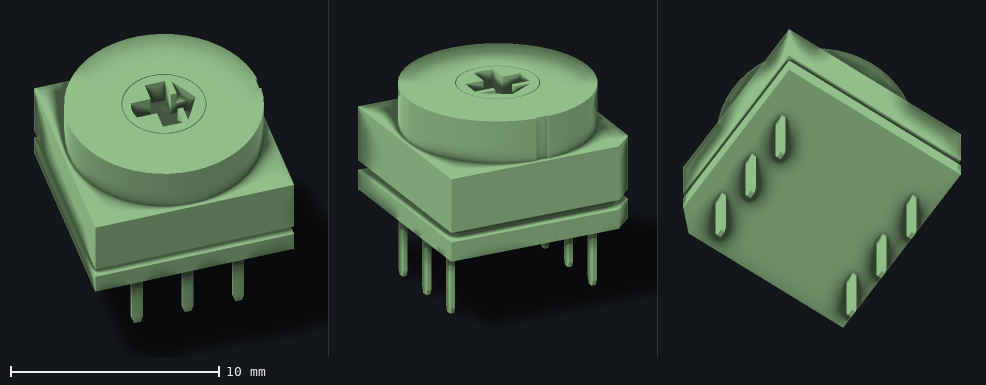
import cadquery as cq
import math

body_side = 10.0
corner_chamfer = 1.0
base_height = 1.0
groove_height = 0.5
groove_inset = 0.5
housing_height = 2.8
overall_height = 10.3

dial_diameter = 9.6
dial_height = 2.2
notch_width = 0.64
notch_depth = 0.1

rotor_diameter = 4.0
gap_outer_diameter = 4.1
gap_depth = 0.1
recess_radius = 1.6
cross_width = 1.02
cross_arm_length = 1.48
cross_depth = 1.3
arrow_depth = 0.65

pin_pitch = 2.54
pin_row_spacing = 7.62
pins_per_row = 3
pin_width = 0.55
pin_thickness = 0.22
pin_tip_width = 0.33
pin_tip_height = 0.3

housing_bottom = base_height + groove_height
housing_top = housing_bottom + housing_height
dial_top = housing_top + dial_height
pin_length = overall_height - dial_top


def body_layer(bottom, height, inset=0):
    """Square block, set in on all sides, with the -X +Y corner cut at 45 degrees."""
    half = body_side / 2
    outline = (
        cq.Workplane("XY", origin=(0, 0, bottom))
        .moveTo(-half, -half)
        .lineTo(half, -half)
        .lineTo(half, half)
        .lineTo(-half + corner_chamfer, half)
        .lineTo(-half, half - corner_chamfer)
        .close()
    )
    if inset:
        outline = outline.offset2D(-inset)
    return outline.extrude(height)


def dial():
    """Round dial with a small index notch down its full height on the +Y side."""
    disc = cq.Workplane("XY", origin=(0, 0, housing_top)).circle(dial_diameter / 2).extrude(dial_height)
    notch = (
        cq.Workplane("XY", origin=(0, dial_diameter / 2, dial_top))
        .rect(notch_width, 2 * notch_depth)
        .extrude(-dial_height)
    )
    return disc.cut(notch)


def rotor_gap():
    """Thin ring cut around the rotor."""
    return (
        cq.Workplane("XY", origin=(0, 0, dial_top))
        .circle(gap_outer_diameter / 2)
        .circle(rotor_diameter / 2)
        .extrude(-gap_depth)
    )


def arrow_head(depth, base_y):
    """Triangle pointing to +Y with its three corners toward the recess circle."""
    slope = math.tan(math.radians(30))
    half_width = (recess_radius - base_y) / slope
    return (
        cq.Workplane("XY", origin=(0, 0, dial_top))
        .polyline([(-half_width, base_y), (half_width, base_y), (0, recess_radius)])
        .close()
        .extrude(-depth)
    )


def screwdriver_recess():
    """Deep cross with a shallower arrow head across its +Y arm."""
    top = cq.Workplane("XY", origin=(0, 0, dial_top))
    side_arms = top.rect(2 * cross_arm_length, cross_width).extrude(-cross_depth)
    long_arm = top.rect(cross_width, 2 * recess_radius).extrude(-cross_depth)
    long_arm = long_arm.intersect(arrow_head(cross_depth, -recess_radius))
    long_arm = long_arm.intersect(top.circle(recess_radius).extrude(-cross_depth))
    arrow = arrow_head(arrow_depth, recess_radius / 2)
    return side_arms.union(long_arm).union(arrow)


def pins():
    """Two rows of flat pins hanging below the base."""
    straight_end = pin_tip_height - pin_length
    half_width = pin_width / 2
    half_tip = pin_tip_width / 2
    pin = (
        cq.Workplane("YZ")
        .polyline([
            (-half_width, 0),
            (half_width, 0),
            (half_width, straight_end),
            (half_tip, -pin_length),
            (-half_tip, -pin_length),
            (-half_width, straight_end),
        ])
        .close()
        .extrude(pin_thickness / 2, both=True)
    )
    return (
        cq.Workplane("XY")
        .rarray(pin_row_spacing, pin_pitch, 2, pins_per_row)
        .eachpoint(lambda place: pin.val().moved(place))
    )


base = body_layer(0, base_height)
neck = body_layer(base_height, groove_height, groove_inset)
housing = body_layer(housing_bottom, housing_height)

result = base.union(neck).union(housing).union(dial())
result = result.cut(rotor_gap()).cut(screwdriver_recess())
result = result.union(pins())